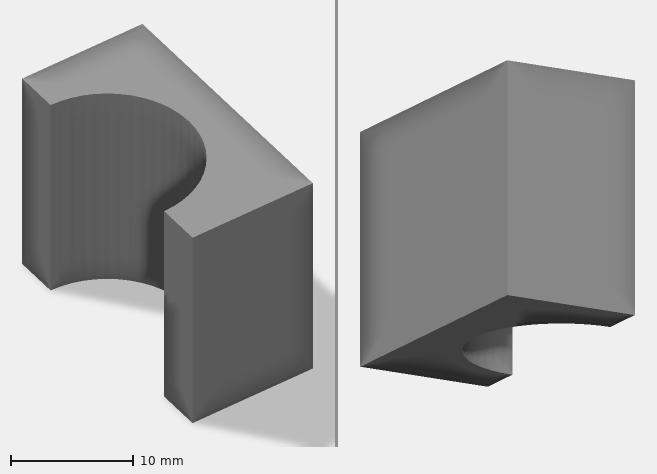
import cadquery as cq

width = 24.4
depth = 12.0
height = 20.0

channel_radius = 8.13

block = cq.Workplane("XY").box(width, depth, height)
channel = cq.Workplane("XY").center(0, -depth / 2).cylinder(height, channel_radius)

result = block.cut(channel)